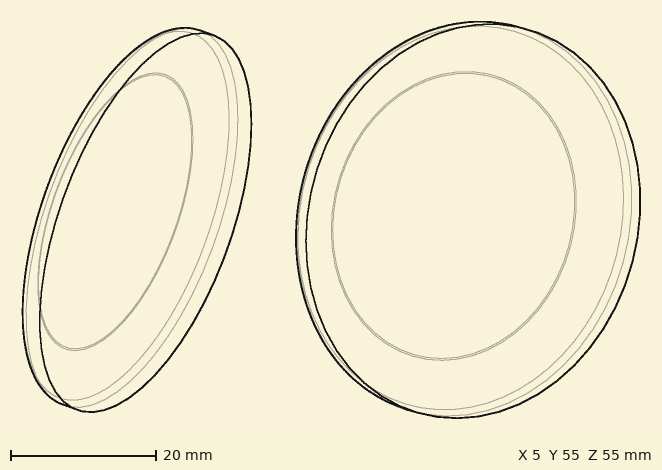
import cadquery as cq

outer_radius = 27.5
thickness = 5.0
face_radius = 20.0
rim_width = 3.0
edge_rounding = 1.0

back_x = thickness / 2
front_x = -back_x
rim_front_x = back_x - rim_width

half_section = (
    cq.Workplane("XY")
    .moveTo(back_x, 0)
    .lineTo(front_x, 0)
    .lineTo(front_x, face_radius)
    .lineTo(rim_front_x, outer_radius)
    .lineTo(back_x, outer_radius)
    .close()
)

disc = half_section.revolve(360, (0, 0, 0), (1, 0, 0))

result = disc.faces("%CONE").edges("%CIRCLE").fillet(edge_rounding)